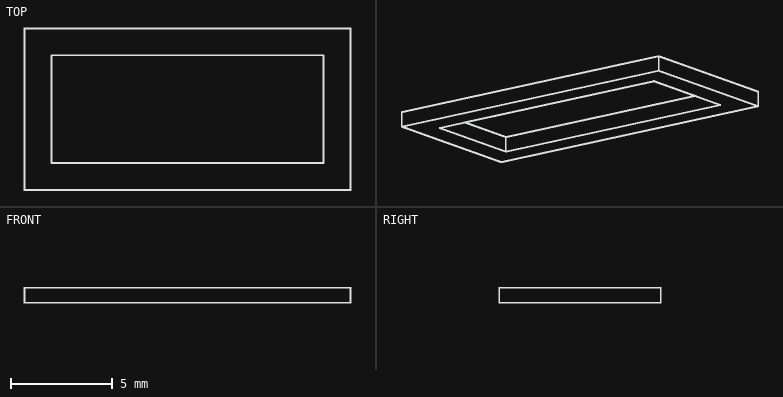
import cadquery as cq

length = 16.0
width = 7.94
thickness = 0.75
border = 1.33

opening_length = length - 2 * border
opening_width = width - 2 * border

result = (
    cq.Workplane("XY")
    .rect(length, width)
    .rect(opening_length, opening_width)
    .extrude(thickness)
)